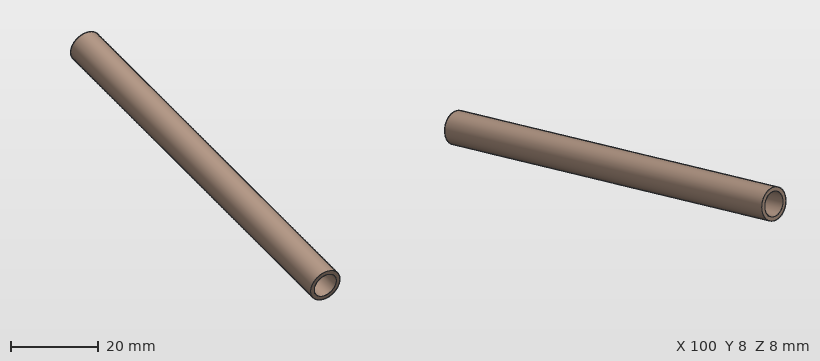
import cadquery as cq

tube_length = 100.0
outer_diameter = 8.0
wall_thickness = 1.0
inner_diameter = outer_diameter - 2 * wall_thickness

result = (
    cq.Workplane("YZ", origin=(-tube_length / 2, 0, 0))
    .circle(outer_diameter / 2)
    .circle(inner_diameter / 2)
    .extrude(tube_length)
)